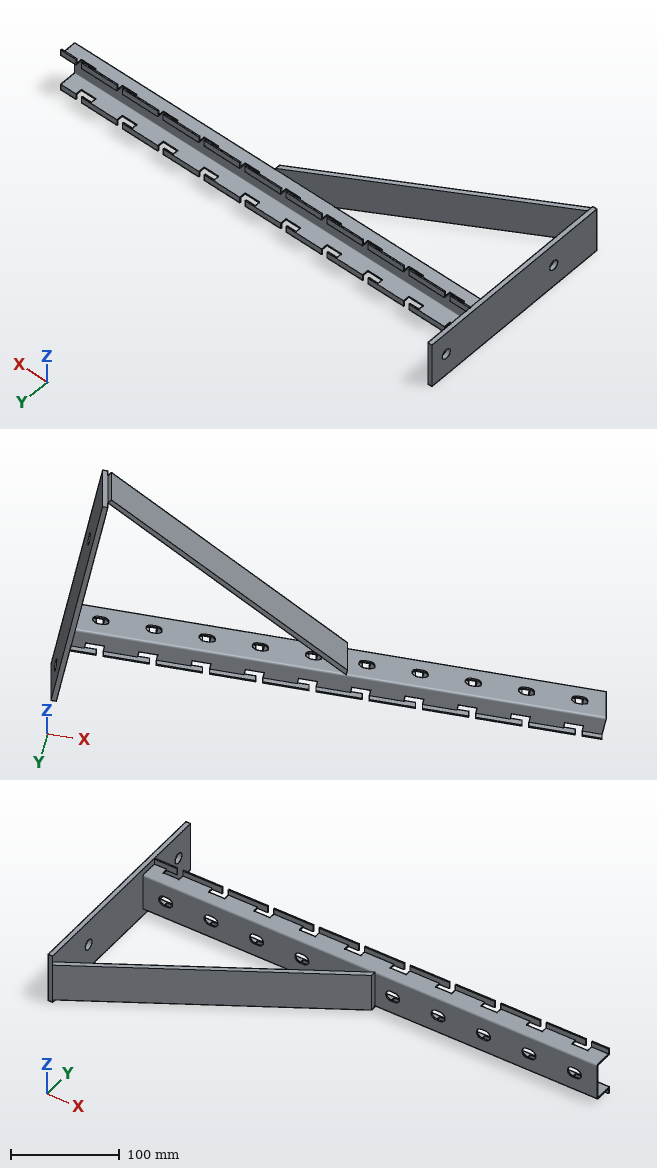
import cadquery as cq
import math

plate_thickness = 5.0
plate_length = 230.0
plate_height = 55.0
plate_hole_diameter = 11.0
plate_hole_spacing = 150.0
lower_plate_hole_y = 60.0

overall_length = 505.0
arm_length = overall_length - plate_thickness
arm_front = 150.5
arm_depth = 20.5
arm_back = arm_front + arm_depth
arm_body_height = 41.5
arm_height = 53.0
sheet_thickness = 1.5
bend_inner_radius = 0.75
bend_outer_radius = bend_inner_radius + sheet_thickness

station_count = 10
station_pitch = arm_length / station_count
web_slot_length = 15.0
web_slot_width = 11.0
web_slot_offset = station_pitch / 2
notch_offset = 31.5
lip_gap_width = 6.5
flange_notch_length = 17.5
flange_notch_depth = 7.5

strut_thickness = 4.8
strut_height = arm_body_height
strut_reach = 255.5


def make_plate():
    plate = cq.Workplane("XY").box(
        plate_thickness, plate_length, plate_height, centered=(False, False, True)
    )
    hole_places = [(lower_plate_hole_y, 0), (lower_plate_hole_y + plate_hole_spacing, 0)]
    holes = (
        cq.Workplane("YZ")
        .pushPoints(hole_places)
        .circle(plate_hole_diameter / 2)
        .extrude(plate_thickness)
    )
    return plate.cut(holes)


def make_hat_rail():
    """Bent sheet: web at the front, two flanges, and a lip turned outwards on each."""
    lip_front = arm_back - sheet_thickness
    outer = arm_body_height / 2
    inner = outer - sheet_thickness
    tip = arm_height / 2
    outline = [
        (arm_front, -outer),
        (arm_front, outer),
        (lip_front, outer),
        (lip_front, tip),
        (arm_back, tip),
        (arm_back, inner),
        (arm_front + sheet_thickness, inner),
        (arm_front + sheet_thickness, -inner),
        (arm_back, -inner),
        (arm_back, -tip),
        (lip_front, -tip),
        (lip_front, -outer),
    ]
    rail = (
        cq.Workplane("YZ", origin=(plate_thickness, 0, 0))
        .polyline(outline)
        .close()
        .extrude(arm_length)
    )

    rail = rail.edges("|X").edges(">>Y[1]").fillet(bend_inner_radius)
    return rail.edges("|X and <Y").fillet(bend_outer_radius)


def make_edge_cutter(end_x, length, front_y, back_y):
    """Block through the full arm height that ends at end_x."""
    cutter = cq.Workplane("XY", origin=(end_x - length, front_y, 0))
    return cutter.box(length, back_y - front_y, arm_height, centered=(False, False, True))


def make_arm():
    rail = make_hat_rail()
    lip_front = arm_back - sheet_thickness
    notch_bottom = arm_back - flange_notch_depth
    for station in range(station_count):
        station_start = plate_thickness + station * station_pitch
        web_slot = (
            cq.Workplane("XZ", origin=(station_start + web_slot_offset, arm_front, 0))
            .slot2D(web_slot_length, web_slot_width)
            .extrude(-sheet_thickness)
        )
        notch_edge = station_start + notch_offset
        lip_gap = make_edge_cutter(notch_edge, lip_gap_width, lip_front, arm_back)
        flange_notch = make_edge_cutter(notch_edge, flange_notch_length, notch_bottom, lip_front)
        rail = rail.cut(web_slot).cut(lip_gap).cut(flange_notch)
    return rail


def make_strut():
    """Bar with a square-cut lower end at the plate corner and an upper end cut parallel to the plate."""
    angle = math.atan2(arm_front, strut_reach)
    outline = [
        (0, 0),
        (strut_reach, arm_front),
        (strut_reach, arm_front - strut_thickness / math.cos(angle)),
        (strut_thickness * math.sin(angle), -strut_thickness * math.cos(angle)),
    ]
    return (
        cq.Workplane("XY", origin=(plate_thickness, 0, 0))
        .polyline(outline)
        .close()
        .extrude(strut_height / 2, both=True)
    )


plate = make_plate()
arm = make_arm()
strut = make_strut()
result = cq.Compound.makeCompound([plate.val(), arm.val(), strut.val()])